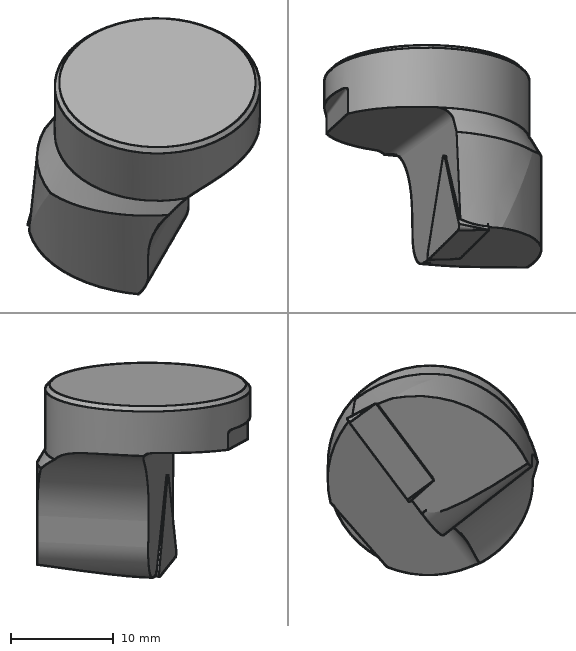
import cadquery as cq
import math


OVERALL_LENGTH = 22.9
OVERALL_WIDTH = 20.9
OVERALL_HEIGHT = 20.0

COLLAR_DIAMETER = 20.0
COLLAR_RADIUS = COLLAR_DIAMETER / 2
TOP_CHAMFER = 0.44
COLLAR_BOTTOM_Z = -6.55
SHOULDER_RADIUS = 11.72
SHOULDER_Z = -9.55
SHANK_BOTTOM_RADIUS = 12.55
SHANK_BOTTOM_Z = -OVERALL_HEIGHT

CLEARANCE_RADIUS = 12.41
CLEARANCE_X = -0.8
SHANK_FRONT_Y = COLLAR_RADIUS - OVERALL_WIDTH
CLEARANCE_Y = SHANK_FRONT_Y + CLEARANCE_RADIUS

BOTTOM_Z = -19.37
BOTTOM_RELIEF_ANGLE = 6.8
BOTTOM_SIDE_ANGLE = 1.1

RELIEF_WALL_X = 2.98
RELIEF_RADIUS = 8.2
RELIEF_CENTER_Z = -12.98
CORNER_RADIUS = 3.78
CORNER_BOTTOM_Z = -19.37

RAKE_Y = 0.65
RAKE_Z = -9.15
RAKE_SIDE_ANGLE = 3.5
RAKE_TILT_ANGLE = 1.0
POCKET_CEILING_ANGLE = 5.7
POCKET_FILLET_RADIUS = 2.8 / 2

STEP_Y = 9.0
STEP_Z = -3.18
STEP_FILLET_RADIUS = 0.35

TIP_X = COLLAR_RADIUS - OVERALL_LENGTH
TIP_Y = -0.05
INSERT_BOTTOM_Z = -OVERALL_HEIGHT
INSERT_NOSE_RADIUS = 0.4
INSERT_NOSE_SPACING = 9.66
INSERT_THICKNESS = 3.18
INSERT_FLANK_ANGLE = 7.0
INSERT_SIDE_ANGLE = 3.4
INSERT_EDGE_ANGLE = 1.0

CUT_SIZE = 45.8


def make_collar():
    return (
        cq.Workplane("XY")
        .workplane(offset=COLLAR_BOTTOM_Z)
        .circle(COLLAR_RADIUS)
        .extrude(-COLLAR_BOTTOM_Z)
        .faces(">Z")
        .chamfer(TOP_CHAMFER)
    )


def make_shank():
    """Flared cone trimmed by the eccentric cylinder and by the sloping bottom face."""
    cone = (
        cq.Workplane("XZ")
        .moveTo(0, COLLAR_BOTTOM_Z)
        .lineTo(COLLAR_RADIUS, COLLAR_BOTTOM_Z)
        .lineTo(SHOULDER_RADIUS, SHOULDER_Z)
        .lineTo(SHANK_BOTTOM_RADIUS, SHANK_BOTTOM_Z)
        .lineTo(0, SHANK_BOTTOM_Z)
        .close()
        .revolve(360, (0, 0, 0), (0, 1, 0))
    )
    clearance = (
        cq.Workplane("XY")
        .center(CLEARANCE_X, CLEARANCE_Y)
        .circle(CLEARANCE_RADIUS)
        .extrude(-CUT_SIZE)
    )
    below_bottom = (
        cq.Workplane("XY")
        .rect(CUT_SIZE, CUT_SIZE)
        .extrude(-CUT_SIZE)
        .rotate((0, 0, 0), (1, 0, 0), -BOTTOM_RELIEF_ANGLE)
        .rotate((0, 0, 0), (0, 1, 0), -BOTTOM_SIDE_ANGLE)
        .translate((0, 0, BOTTOM_Z))
    )
    return cone.intersect(clearance).cut(below_bottom)


def make_side_relief():
    """Cutter that runs along Y and removes the +X side of the shank and collar."""
    arc_center_x = RELIEF_WALL_X + RELIEF_RADIUS
    corner_center_x = RELIEF_WALL_X - CORNER_RADIUS
    corner_center_z = CORNER_BOTTOM_Z + CORNER_RADIUS
    diagonal = math.sqrt(0.5)
    return (
        cq.Workplane("XZ")
        .moveTo(arc_center_x, RELIEF_CENTER_Z + RELIEF_RADIUS)
        .threePointArc(
            (arc_center_x - RELIEF_RADIUS * diagonal, RELIEF_CENTER_Z + RELIEF_RADIUS * diagonal),
            (RELIEF_WALL_X, RELIEF_CENTER_Z),
        )
        .lineTo(RELIEF_WALL_X, corner_center_z)
        .threePointArc(
            (corner_center_x + CORNER_RADIUS * diagonal, corner_center_z - CORNER_RADIUS * diagonal),
            (corner_center_x, CORNER_BOTTOM_Z),
        )
        .lineTo(corner_center_x, -CUT_SIZE)
        .lineTo(CUT_SIZE, -CUT_SIZE)
        .lineTo(CUT_SIZE, RELIEF_CENTER_Z + RELIEF_RADIUS)
        .close()
        .extrude(CUT_SIZE / 2, both=True)
    )


def make_chip_pocket():
    """Space on the +Y side of the rake face, with a rounded edge under the sloping ceiling."""
    behind_rake = (
        cq.Workplane("XY")
        .box(CUT_SIZE, CUT_SIZE, CUT_SIZE, centered=(True, False, True))
        .rotate((0, 0, 0), (1, 0, 0), -RAKE_TILT_ANGLE)
        .rotate((0, 0, 0), (0, 0, 1), RAKE_SIDE_ANGLE)
        .translate((0, RAKE_Y, RAKE_Z))
    )
    below_ceiling = (
        cq.Workplane("XY")
        .rect(2 * CUT_SIZE, 2 * CUT_SIZE)
        .extrude(-CUT_SIZE)
        .rotate((0, 0, 0), (0, 1, 0), -POCKET_CEILING_ANGLE)
        .translate((-COLLAR_RADIUS, 0, COLLAR_BOTTOM_Z))
    )
    pocket = behind_rake.intersect(below_ceiling)
    ceiling_edge = cq.selectors.NearestToPointSelector((0, RAKE_Y, COLLAR_BOTTOM_Z))
    return pocket.edges(ceiling_edge).fillet(POCKET_FILLET_RADIUS)


def make_collar_step():
    return (
        cq.Workplane("XY")
        .box(CUT_SIZE, CUT_SIZE, CUT_SIZE, centered=(True, False, False))
        .translate((0, STEP_Y, STEP_Z - CUT_SIZE))
        .edges("<Y and >Z")
        .fillet(STEP_FILLET_RADIUS)
    )


def make_insert():
    """Triangular plate with rounded noses, tapering away from its cutting face."""
    side_angle = math.radians(INSERT_SIDE_ANGLE)
    cutting_plane = cq.Plane(
        origin=(TIP_X, TIP_Y, INSERT_BOTTOM_Z),
        xDir=(math.cos(side_angle), math.sin(side_angle), 0),
        normal=(math.sin(side_angle), -math.cos(side_angle), 0),
    )
    return (
        cq.Workplane(cutting_plane)
        .transformed(rotate=(0, 0, INSERT_EDGE_ANGLE), offset=(INSERT_NOSE_RADIUS, INSERT_NOSE_RADIUS))
        .polyline([
            (0, 0),
            (INSERT_NOSE_SPACING, 0),
            (INSERT_NOSE_SPACING / 2, INSERT_NOSE_SPACING * math.sin(math.radians(60))),
        ])
        .close()
        .offset2D(INSERT_NOSE_RADIUS)
        .extrude(INSERT_THICKNESS, taper=INSERT_FLANK_ANGLE)
    )


def make_holder(insert):
    """Collar and shank in one solid, with a seat that matches the insert."""
    return (
        make_collar()
        .union(make_shank())
        .cut(make_side_relief())
        .cut(make_chip_pocket())
        .cut(make_collar_step())
        .cut(insert)
        .solids()
    )


insert = make_insert()
holder = make_holder(insert)

result = cq.Compound.makeCompound([holder.val(), insert.val()])